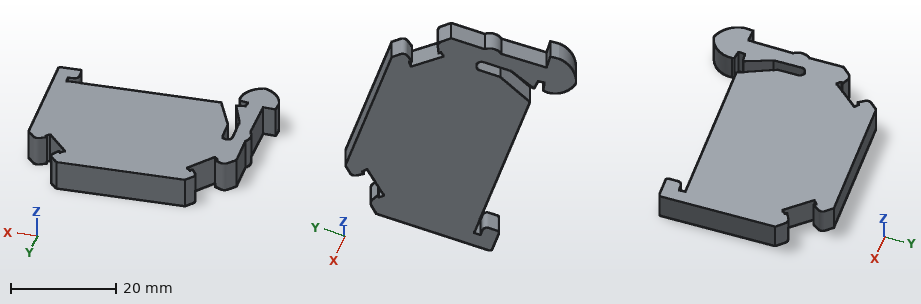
import cadquery as cq
import math

thickness = 6.0
half_width = 20.4
top_y = 28.08
top_half_width = 12.6

upper_bevel_end = (13.95, 26.6)
upper_nose = (14.1, 26.0)
upper_nose_end = (13.97, 25.45)
upper_tooth_tip = (13.1, 24.15)
upper_tooth_root = (12.75, 24.6)
shoulder_top = (11.95, 23.9)
shoulder_bottom = (16.15, 18.9)
lower_tooth_root = (16.85, 19.65)
lower_tooth_tip = (16.5, 20.0)
lower_nose_start = (17.8, 20.67)
lower_nose = (18.4, 20.75)
lower_nose_end = (18.95, 20.5)
side_top_y = 18.9

hook_inner_x = 17.8
hook_lip_x = 15.8
hook_gap = 1.25
hook_bottom_y = -4.45
hook_nose_radius = 0.9
hook_corner_radius = 0.53

slot_left_x = -17.7
slot_width = 1.93
slot_top_y = 12.35
slot_bend_right_y = 7.23
slot_bend_left_y = 5.83
slot_radius = slot_width / 2
slot_right_x = slot_left_x + slot_width

bump_top_y = 12.1
bump_peak = (-21.05, 10.42)
bump_bottom = (-20.55, 8.75)
leg_bottom = (-20.75, -0.3)
foot_corner = (-23.25, -0.15)
foot_left_top = (-23.4, -1.93)
foot_left_mid = (-22.3, -4.77)
foot_tip = (-19.85, -6.65)
foot_bottom = (-19.5, -6.75)
foot_bottom_end = (-19.15, -6.7)
foot_right_mid = (-16.65, -5.0)
foot_right_end = (-15.72, -1.93)
foot_catch = (-15.9, -1.45)
notch_bottom = (-17.5, -1.15)
notch_top = (-17.4, 0.15)
latch_lower = (-15.75, 0.3)
latch_tip = (-15.65, 0.45)


def mirrored(point):
    """Reflect a point across the body's centre line."""
    return (-point[0], point[1])


def add_left_shoulder(outline):
    """Draw the left lugs and shoulder, from the outer side up to the top edge."""
    return (
        outline.lineTo(*mirrored(lower_nose_end))
        .threePointArc(mirrored(lower_nose), mirrored(lower_nose_start))
        .lineTo(*mirrored(lower_tooth_tip))
        .lineTo(*mirrored(lower_tooth_root))
        .lineTo(*mirrored(shoulder_bottom))
        .lineTo(*mirrored(shoulder_top))
        .lineTo(*mirrored(upper_tooth_root))
        .lineTo(*mirrored(upper_tooth_tip))
        .lineTo(*mirrored(upper_nose_end))
        .threePointArc(mirrored(upper_nose), mirrored(upper_bevel_end))
        .lineTo(-top_half_width, top_y)
    )


def add_right_shoulder(outline):
    """Draw the right lugs and shoulder, from the top edge down to the outer side."""
    return (
        outline.lineTo(*upper_bevel_end)
        .threePointArc(upper_nose, upper_nose_end)
        .lineTo(*upper_tooth_tip)
        .lineTo(*upper_tooth_root)
        .lineTo(*shoulder_top)
        .lineTo(*shoulder_bottom)
        .lineTo(*lower_tooth_root)
        .lineTo(*lower_tooth_tip)
        .lineTo(*lower_nose_start)
        .threePointArc(lower_nose, lower_nose_end)
        .lineTo(half_width, side_top_y)
    )


def add_rail_hook(outline):
    """Draw the fixed hook, from the outer side round to the rail face."""
    nose_inset = hook_nose_radius * (1 - math.sqrt(0.5))
    return (
        outline.lineTo(half_width, hook_bottom_y)
        .lineTo(hook_lip_x, hook_bottom_y)
        .lineTo(hook_lip_x, -hook_gap - hook_nose_radius)
        .threePointArc(
            (hook_lip_x + nose_inset, -hook_gap - nose_inset),
            (hook_lip_x + hook_nose_radius, -hook_gap),
        )
        .lineTo(hook_inner_x, -hook_gap)
        .lineTo(hook_inner_x, 0)
    )


def add_slot(outline):
    """Draw the slot, from the rail face round its closed end to the latch tip."""
    return (
        outline.lineTo(-top_half_width, 0)
        .lineTo(slot_right_x, slot_bend_right_y)
        .lineTo(slot_right_x, slot_top_y - slot_radius)
        .threePointArc(
            (slot_left_x + slot_radius, slot_top_y),
            (slot_left_x, slot_top_y - slot_radius),
        )
        .lineTo(slot_left_x, slot_bend_left_y)
        .lineTo(*latch_tip)
    )


def add_spring_leg(outline):
    """Draw the latch, foot and outside of the spring leg, up to the body's side."""
    return (
        outline.lineTo(*latch_lower)
        .lineTo(*notch_top)
        .lineTo(*notch_bottom)
        .lineTo(*foot_catch)
        .lineTo(*foot_right_end)
        .threePointArc(foot_right_mid, foot_bottom_end)
        .threePointArc(foot_bottom, foot_tip)
        .threePointArc(foot_left_mid, foot_left_top)
        .lineTo(*foot_corner)
        .lineTo(*leg_bottom)
        .lineTo(*bump_bottom)
        .threePointArc(bump_peak, (-half_width, bump_top_y))
    )


outline = cq.Workplane("XY").moveTo(-half_width, side_top_y)
outline = add_left_shoulder(outline)
outline = outline.lineTo(top_half_width, top_y)
outline = add_right_shoulder(outline)
outline = add_rail_hook(outline)
outline = add_slot(outline)
outline = add_spring_leg(outline).close()
plate = outline.extrude(thickness)

hook_corners = cq.selectors.BoxSelector(
    (hook_lip_x - 0.45, hook_bottom_y - 0.45, -0.45),
    (half_width + 0.45, hook_bottom_y + 0.45, thickness + 0.45),
)
result = plate.edges("|Z").edges(hook_corners).fillet(hook_corner_radius)